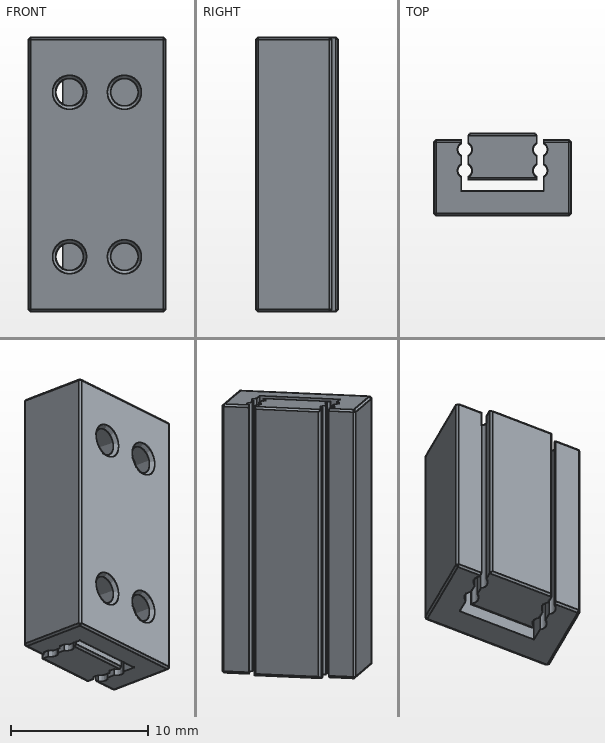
import cadquery as cq

LENGTH = 20.0
EDGE_CHAMFER = 0.15

HOUSING_WIDTH = 10.0
HOUSING_HEIGHT = 5.52
CHANNEL_WIDTH = 6.0
CHANNEL_FLOOR_Y = 1.8

RAIL_WIDTH = 5.0
RAIL_BOTTOM_Y = 2.6
RAIL_TOP_Y = 6.0

RACEWAY_DIAMETER = 1.05
RACEWAY_X = (RAIL_WIDTH + CHANNEL_WIDTH) / 4
RACEWAY_HEIGHTS = (3.28, 4.82)

HOLE_DIAMETER = 2.0
HOLE_MOUTH_DIAMETER = 2.48
HOLE_MOUTH_DEPTH = 0.3
HOLE_SPACING_X = 4.0
HOLE_SPACING_Z = 12.0
BLIND_HOLE_DEPTH = 1.6


def bar(width, bottom_y, top_y):
    """Rectangular bar over the full length, centred on X and Z."""
    height = top_y - bottom_y
    return cq.Workplane("XY").box(width, height, LENGTH).translate((0, bottom_y + height / 2, 0))


def raceways():
    """Four round channels along Z, two on each side of the rail."""
    centres = [(side * RACEWAY_X, y) for side in (-1, 1) for y in RACEWAY_HEIGHTS]
    return (
        cq.Workplane("XY")
        .pushPoints(centres)
        .circle(RACEWAY_DIAMETER / 2)
        .extrude(LENGTH / 2, both=True)
    )


def mounting_hole(x, z, depth):
    """Round hole going in +Y from the mounting face, with a chamfered mouth."""
    axis = cq.Vector(0, 1, 0)
    mouth_centre = cq.Vector(x, 0, z)
    bore = cq.Solid.makeCylinder(HOLE_DIAMETER / 2, depth, mouth_centre, axis)
    mouth = cq.Solid.makeCone(
        HOLE_MOUTH_DIAMETER / 2, HOLE_DIAMETER / 2, HOLE_MOUTH_DEPTH, mouth_centre, axis
    )
    return bore.fuse(mouth)


def make_housing():
    """U-shaped housing, all its outer edges chamfered before the channel is cut."""
    housing = bar(HOUSING_WIDTH, 0, HOUSING_HEIGHT).edges().chamfer(EDGE_CHAMFER)
    housing = housing.cut(bar(CHANNEL_WIDTH, CHANNEL_FLOOR_Y, HOUSING_HEIGHT))
    housing = housing.cut(raceways())
    for side, depth in ((-1, CHANNEL_FLOOR_Y), (1, BLIND_HOLE_DEPTH)):
        for end in (-1, 1):
            hole = mounting_hole(side * HOLE_SPACING_X / 2, end * HOLE_SPACING_Z / 2, depth)
            housing = housing.cut(cq.Workplane(hole))
    return housing


def make_rail():
    """Inner rail with chamfers around its top face and across its bottom ends."""
    rail = bar(RAIL_WIDTH, RAIL_BOTTOM_Y, RAIL_TOP_Y)
    rail = rail.faces(">Y").edges().chamfer(EDGE_CHAMFER)
    rail = rail.faces("<Y").edges("|X").chamfer(EDGE_CHAMFER)
    return rail.cut(raceways())


housing = make_housing()
rail = make_rail()

result = cq.Compound.makeCompound([housing.val(), rail.val()])